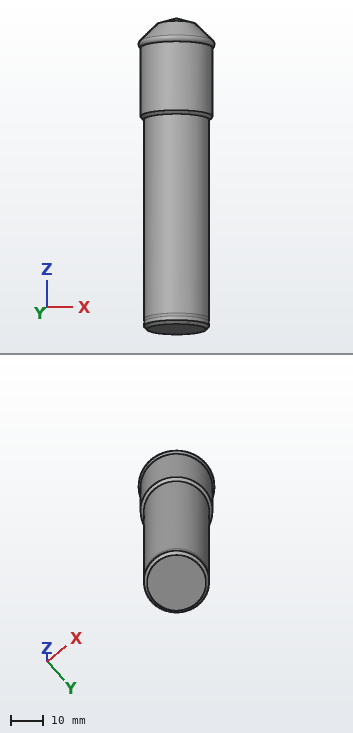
import cadquery as cq
import math

total_height = 96.4

shank_radius = 10.0
foot_chamfer = 1.0

waist_depth = 0.11
waist_bottom = 1.3
waist_middle = 2.4
waist_top = 3.3
waist_radius = shank_radius - waist_depth
flare_height = waist_middle - waist_bottom
flare_arc_radius = (flare_height**2 + waist_depth**2) / (2 * waist_depth)

head_radius = 11.0
shoulder_chamfer = head_radius - shank_radius
shoulder_top = 66.0

tip_flat_radius = 0.4
tip_radius = 6.0
tip_slope = math.radians(18)
tip_base = total_height - (tip_radius - tip_flat_radius) * math.tan(tip_slope)

rim_radius = 11.62
rim_round = 1.25
rim_round_center = rim_radius - rim_round
rim_slope = math.radians(45)
rim_edge_radius = rim_round_center + rim_round * math.sin(rim_slope)
cone_end_height = tip_base - (rim_edge_radius - tip_radius) * math.tan(rim_slope)
rim_height = cone_end_height - rim_round * math.cos(rim_slope)
undercut_start_height = rim_height - rim_round * math.cos(rim_slope)
undercut_end_height = undercut_start_height - (rim_edge_radius - head_radius) * math.tan(rim_slope)


def turned_profile():
    """Half section in the XZ plane, from the foot up to the tip."""
    return (
        cq.Workplane("XZ")
        .lineTo(shank_radius - foot_chamfer, 0)
        .lineTo(shank_radius, foot_chamfer)
        .lineTo(shank_radius, waist_bottom)
        .radiusArc((waist_radius, waist_middle), flare_arc_radius)
        .lineTo(shank_radius, waist_top)
        .lineTo(shank_radius, shoulder_top - shoulder_chamfer)
        .lineTo(head_radius, shoulder_top)
        .lineTo(head_radius, undercut_end_height)
        .lineTo(rim_edge_radius, undercut_start_height)
        .threePointArc((rim_radius, rim_height), (rim_edge_radius, cone_end_height))
        .lineTo(tip_radius, tip_base)
        .lineTo(tip_flat_radius, total_height)
        .lineTo(0, total_height)
        .close()
    )


result = turned_profile().revolve(360, (0, 0, 0), (0, 1, 0))